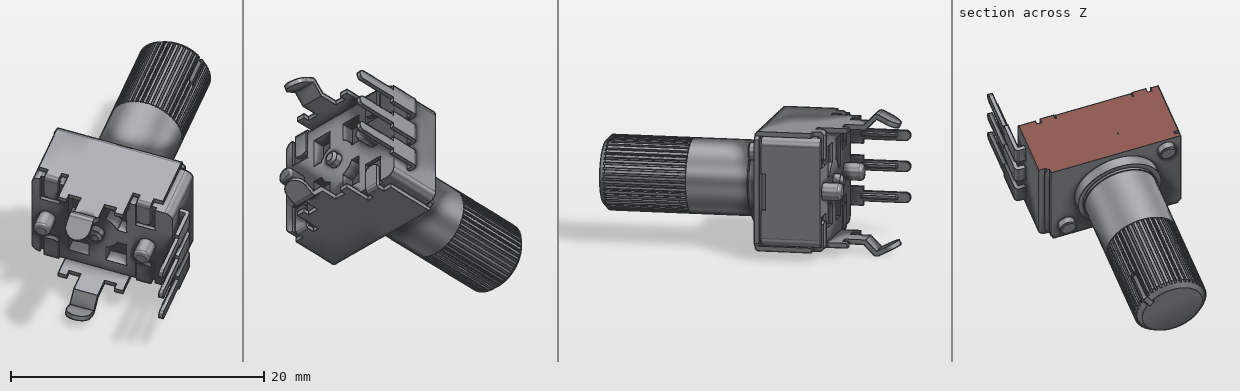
import cadquery as cq
import math


shaft_radius = 3.0
shaft_tip = 13.1
tip_chamfer = 0.48
knurl_start = 6.07
tooth_count = 44
tooth_depth = 0.15
groove_mouth_share = 0.46
groove_floor_share = 0.36
marker_angle = 49.4
marker_width = 0.57
marker_length = 2.95
marker_floor_radius = 2.71
collar_radius = 3.07
collar_top = 1.07
bushing_radius = 3.47
bushing_top = 0.85

housing_left = -5.5
housing_right = 6.3
housing_half_height = 4.4
housing_top = -0.57
housing_bottom = -5.3
housing_corner_radius = 0.67
step_left = -5.21
step_right = 5.8
step_corner_radius = 0.88
side_notch_half_height = 1.45
side_notch_length = 0.33
side_notch_depth = 0.24

core_inner_x = 0.71
core_outer_x = 2.45
core_inner_z = 0.74
core_outer_z = 3.25
core_hub_radius = 1.83
core_depth = 1.07

peg_radius = 0.7
peg_offset = 4.2
bottom_peg_length = 1.55
bottom_peg_fillet = 0.29
top_peg_length = 0.65
top_peg_offset_z = 3.0
top_peg_chamfer = 0.1
center_peg_radius = 0.6
center_peg_length = 0.8
center_peg_chamfer = 0.24

overall_height = 11.4
sheet = 0.38
bend_radius = 0.35
flange_gap = 0.02
plate_half_width = 5.45
plate_corner = 0.25
flange_half_width = 5.21
flange_bottom = -4.52
tongue_half_width = 2.71
tongue_bottom = -6.93
tongue_notch_top = -6.4
tongue_notch_outer = 2.0
lug_half_width = 1.0
knee_y = -8.95
lug_tip_y = -10.7
lug_rise_angle = 45
lug_end_angle = 26.5

tab_inner_x = 3.28
tab_outer_x = 4.45
tab_bottom = -5.38
tab_tip_z = 2.45
tab_tip_crown = 0.2
tab_pocket_inner_x = 3.2
tab_pocket_outer_x = 4.83
tab_pocket_inner_z = 1.98

terminal_pitch = 2.5
terminal_sheet = 0.33
terminal_right = 7.16
terminal_top = -3.5
terminal_width = 1.5
terminal_shoulder = -6.2
terminal_pin_width = 0.79
terminal_tip = -10.02
bead_top = -6.0
bead_bottom = -9.05
bead_width = 0.43
bead_height = 0.12
bead_flank_angle = 45

flange_inner_z = housing_half_height + flange_gap
flange_outer_z = flange_inner_z + sheet
knee_rise = overall_height / 2 - flange_outer_z
terminal_half_width = terminal_width / 2
terminal_pin_half_width = terminal_pin_width / 2
embed = 0.24


def block(x_range, y_range, z_range):
    """Axis-aligned box given by its limits."""
    lows, highs = zip(x_range, y_range, z_range)
    sizes = [high - low for low, high in zip(lows, highs)]
    return cq.Workplane("XY").box(*sizes, centered=False).translate(lows)


def cylinder(radius, y_from, y_to, x=0, z=0):
    """Cylinder along Y."""
    center = cq.Workplane("XZ", origin=(x, y_from, z))
    return center.circle(radius).extrude(y_from - y_to)


def both_z_sides(body):
    """The body together with its mirror image across Z = 0."""
    return body.union(body.mirror("XY"))


def polar(radius, angle):
    """Flat point at a radius and an angle in radians."""
    return radius * math.cos(angle), radius * math.sin(angle)



def knurl():
    """Toothed bar with trapezoid grooves over the knurled length."""
    pitch = 2 * math.pi / tooth_count
    root_radius = shaft_radius - tooth_depth
    mouth = pitch * groove_mouth_share / 2
    floor = pitch * groove_floor_share / 2
    points = []
    for tooth in range(tooth_count):
        center = tooth * pitch
        points.append(polar(shaft_radius, center - mouth))
        points.append(polar(root_radius, center - floor))
        points.append(polar(root_radius, center + floor))
        points.append(polar(shaft_radius, center + mouth))
    start = cq.Workplane("XZ", origin=(0, knurl_start, 0))
    return start.polyline(points).close().extrude(knurl_start - shaft_tip)


def shaft():
    """Knurled shaft, marked by a short groove of even depth that follows the tip chamfer."""
    blank = cylinder(shaft_radius, knurl_start, shaft_tip).faces(">Y").chamfer(tip_chamfer)
    marker = block(
        (-marker_width / 2, marker_width / 2),
        (shaft_tip - marker_length, shaft_tip),
        (0, shaft_radius + embed),
    ).rotate((0, 0, 0), (0, 1, 0), marker_angle)
    marker_core = cylinder(marker_floor_radius, knurl_start, shaft_tip).faces(">Y").chamfer(tip_chamfer)
    marker = marker.cut(marker_core)
    toothed = knurl().intersect(blank).cut(marker)
    plain = cylinder(shaft_radius, -sheet, knurl_start)
    collar = cylinder(collar_radius, -sheet, collar_top)
    bushing = cylinder(bushing_radius, -sheet, bushing_top)
    return plain.union(toothed).union(collar).union(bushing)



def core_pockets():
    """Four pockets in the housing bottom, cut back around a round hub."""
    deep_end = housing_bottom + core_depth
    y_range = (housing_bottom, deep_end)
    pocket = block((core_inner_x, core_outer_x), y_range, (core_inner_z, core_outer_z))
    pair = pocket.union(pocket.mirror("YZ"))
    return both_z_sides(pair).cut(cylinder(core_hub_radius, housing_bottom, deep_end))


def tab_pockets():
    """Four recesses, open to the housing sides, that take the clinch tabs."""
    pocket = block(
        (tab_pocket_inner_x, tab_pocket_outer_x),
        (housing_bottom, tab_bottom + sheet),
        (tab_pocket_inner_z, housing_half_height),
    )
    return both_z_sides(pocket.union(pocket.mirror("YZ")))


def pegs():
    """Two bottom pegs and a center peg under the housing, two diagonal pegs on the cover."""
    bottom_end = housing_bottom - bottom_peg_length
    bottom_peg = cylinder(peg_radius, housing_bottom + embed, bottom_end)
    bottom_peg = bottom_peg.faces("<Y").edges().fillet(bottom_peg_fillet)
    top_peg = cylinder(peg_radius, -embed, top_peg_length)
    top_peg = top_peg.faces(">Y").chamfer(top_peg_chamfer)
    center_peg = cylinder(center_peg_radius, housing_bottom + embed, housing_bottom - center_peg_length)
    body = center_peg.faces("<Y").chamfer(center_peg_chamfer)
    for side in (-1, 1):
        body = body.union(bottom_peg.translate((side * peg_offset, 0, 0)))
        body = body.union(top_peg.translate((side * peg_offset, 0, -side * top_peg_offset_z)))
    return body


def housing():
    """Rounded block with a shallow step towards the cover, less its pockets."""
    z_range = (-housing_half_height, housing_half_height)
    body = block((housing_left, housing_right), (housing_bottom, housing_top), z_range)
    body = body.edges("|Y").fillet(housing_corner_radius)
    side_notch = block(
        (housing_left, housing_left + side_notch_depth),
        (housing_top - side_notch_length, housing_top),
        (-side_notch_half_height, side_notch_half_height),
    )
    step = block((step_left, step_right), (housing_top - embed, -sheet), z_range)
    step = step.edges("|Y").fillet(step_corner_radius)
    return body.cut(side_notch).union(step).cut(core_pockets()).cut(tab_pockets())



def lug():
    """Snap-in lug: bends outward, then back in to a round end."""
    rise = math.radians(lug_rise_angle)
    slope = math.radians(lug_end_angle)
    inner_bend_y = knee_y + knee_rise / math.tan(rise)
    knee_z = flange_inner_z + knee_rise
    profile = (
        cq.Workplane("YZ", origin=(-lug_half_width, 0, 0))
        .moveTo(tongue_notch_top, flange_inner_z)
        .lineTo(inner_bend_y, flange_inner_z)
        .lineTo(knee_y, knee_z)
        .lineTo(knee_y - sheet * math.sin(slope), knee_z + sheet * math.cos(slope))
        .threePointArc(
            (knee_y, knee_z + sheet),
            (knee_y + sheet * math.sin(rise), knee_z + sheet * math.cos(rise)),
        )
        .lineTo(inner_bend_y + sheet * math.tan(rise / 2), flange_outer_z)
        .lineTo(tongue_notch_top, flange_outer_z)
        .close()
    )
    bent_strip = profile.extrude(2 * lug_half_width)

    end_plane = cq.Plane(
        origin=(0, knee_y, knee_z),
        xDir=(-1, 0, 0),
        normal=(0, -math.sin(slope), math.cos(slope)),
    )
    end_length = (knee_y - lug_tip_y - sheet * math.sin(slope)) / math.cos(slope)
    straight = end_length - lug_half_width
    rounded_end = (
        cq.Workplane(end_plane)
        .moveTo(-lug_half_width, 0)
        .lineTo(-lug_half_width, straight)
        .threePointArc((0, end_length), (lug_half_width, straight))
        .lineTo(lug_half_width, 0)
        .close()
        .extrude(sheet)
    )
    return bent_strip.union(rounded_end)


def clinch_tab():
    """Tab that runs down the housing side and folds under it."""
    z_range = (tab_tip_z, flange_outer_z)
    tab = block((tab_inner_x, tab_outer_x), (tab_bottom, flange_bottom), z_range)
    tab = tab.edges("|X").edges("<Y and >Z").fillet(bend_radius)
    inside = block(
        (tab_inner_x, tab_outer_x),
        (tab_bottom + sheet, flange_bottom),
        (tab_tip_z, flange_inner_z),
    )
    crown_z = tab_tip_z + tab_tip_crown
    outline = (
        cq.Workplane("XZ", origin=(0, flange_bottom, 0))
        .moveTo(tab_inner_x, flange_outer_z)
        .lineTo(tab_inner_x, crown_z)
        .threePointArc(((tab_inner_x + tab_outer_x) / 2, tab_tip_z), (tab_outer_x, crown_z))
        .lineTo(tab_outer_x, flange_outer_z)
        .close()
        .extrude(flange_bottom - tab_bottom)
    )
    return tab.cut(inside).intersect(outline)


def flange():
    """One side wall of the cover with its tongue, lug and clinch tabs."""
    z_range = (flange_inner_z, flange_outer_z)
    wall = block((-flange_half_width, flange_half_width), (flange_bottom, 0), z_range)
    wall = wall.edges(">Y and >Z").fillet(bend_radius)
    tongue = block((-tongue_half_width, tongue_half_width), (tongue_bottom, flange_bottom), z_range)
    notch = block(
        (-tongue_notch_outer, tongue_notch_outer),
        (tongue_bottom, tongue_notch_top),
        z_range,
    )
    tab = clinch_tab()
    return wall.union(tongue.cut(notch)).union(lug()).union(tab).union(tab.mirror("YZ"))


def cover():
    """Flat plate with a folded side wall on each Z side."""
    plate = block(
        (-plate_half_width, plate_half_width),
        (-sheet, 0),
        (-flange_inner_z, flange_inner_z),
    )
    plate = plate.edges("|Y").chamfer(plate_corner)
    return plate.union(both_z_sides(flange()))



def terminal():
    """Angled solder terminal with a shouldered round-ended pin and a stiffening bead."""
    inner_face = terminal_right - terminal_sheet
    arm = block(
        (housing_right - embed, terminal_right),
        (terminal_top - terminal_sheet, terminal_top),
        (-terminal_half_width, terminal_half_width),
    )
    wide = block(
        (inner_face, terminal_right),
        (terminal_shoulder, terminal_top),
        (-terminal_half_width, terminal_half_width),
    )
    elbow = arm.union(wide).edges(">X and >Y").fillet(terminal_sheet)

    round_start = terminal_tip + terminal_pin_half_width
    pin = (
        cq.Workplane("YZ", origin=(inner_face, 0, 0))
        .moveTo(terminal_shoulder, -terminal_pin_half_width)
        .lineTo(round_start, -terminal_pin_half_width)
        .threePointArc((terminal_tip, 0), (round_start, terminal_pin_half_width))
        .lineTo(terminal_shoulder, terminal_pin_half_width)
        .close()
        .extrude(terminal_sheet)
    )
    bead = (
        cq.Workplane("YZ", origin=(inner_face, (bead_top + bead_bottom) / 2, 0))
        .slot2D(bead_top - bead_bottom, bead_width)
        .extrude(-bead_height, taper=bead_flank_angle)
    )
    return elbow.union(pin).union(bead)



result = housing().union(cover()).union(shaft()).union(pegs())
for row in (-1, 0, 1):
    result = result.union(terminal().translate((0, 0, row * terminal_pitch)))